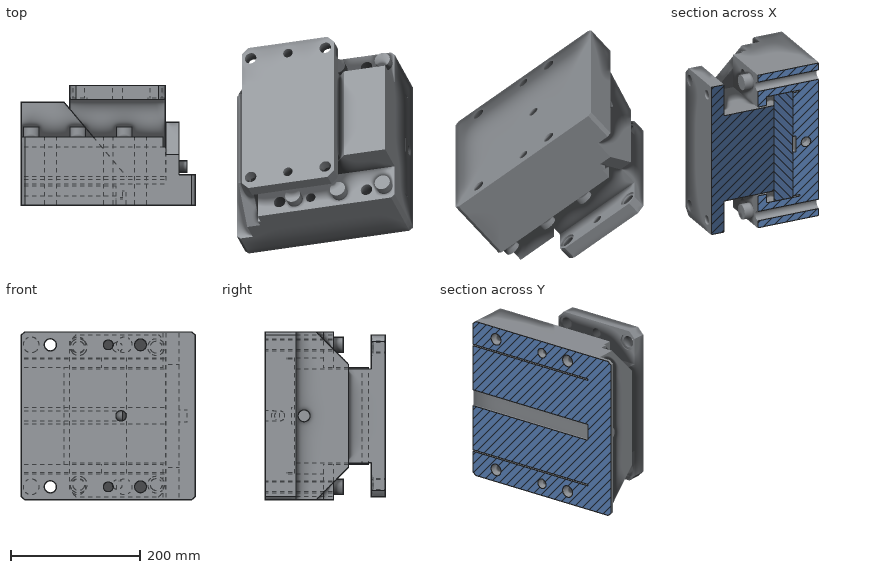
import cadquery as cq
import math


housing_length = 270.0
housing_height = 260.0
housing_depth = 105.8
flange_depth = 47.8
shoulder_x = 244.5
corner_chamfer_x = 6.0
corner_chamfer_z = 4.9

slot_end_x = 224.0
slot_floor_y = 45.0
slot_lip_y = 90.5
slot_half_width = 89.6
neck_half_width = 75.0
relief_width = 1.5
relief_depth = 11.5
key_groove_half_width = 13.0
key_groove_depth = 4.5

stop_bottom_y = 78.8
stop_top_y = 129.0
stop_bottom_half_height = housing_height / 2
stop_top_half_height = stop_bottom_half_height - (stop_top_y - stop_bottom_y)
notch_depth = 4.0
notch_bottom_y = 90.2

head_radius = 12.2
head_height = 15.5
head_first_x = 15.7
head_pitch = 72.0
head_count = 3
side_pin_radius = 9.2
side_pin_length = 12.5
side_pin_y = 60.2

hole_row_z = 110.0
bolt_hole_radius = 9.2
bolt_hole_xs = (45.4, 185.0)
dowel_hole_radius = 7.5
dowel_hole_x = 135.0
port_radius = 8.0
port_x = 154.7
channel_radius = 7.8
channel_y = 22.5
channel_length = port_x - port_radius
port_core_radius = 12.7
port_core_end_x = 157.1

wedge_top_y = 160.0
wedge_top_length = 66.5
wedge_angle = math.radians(50)

jaw_left_x = 75.0
jaw_right_x = 223.3
jaw_half_width = 73.0
plate_bottom_y = 164.0
plate_top_y = 186.0
plate_height = 251.0
plate_chamfer = 10.3
plate_hole_z = 106.5
plate_bolt_spacing = 120.0
counterbore_radius = 13.0
counterbore_depth = 2.7


def box(x_range, y_range, half_height):
    """Block between two X and two Y limits, centred on Z = 0."""
    (x0, x1), (y0, y1) = x_range, y_range
    return cq.Workplane("XY").box(x1 - x0, y1 - y0, 2 * half_height).translate(
        ((x0 + x1) / 2, (y0 + y1) / 2, 0)
    )


def cylinder_along_y(x, z, radius, y_start, length):
    return cq.Workplane(cq.Solid.makeCylinder(radius, length, cq.Vector(x, y_start, z), cq.Vector(0, 1, 0)))


def cylinder_along_x(y, radius, x_start, length):
    return cq.Workplane(cq.Solid.makeCylinder(radius, length, cq.Vector(x_start, y, 0), cq.Vector(1, 0, 0)))


def wedge_slope_x(y):
    """X of the inclined wedge face at a given Y."""
    return wedge_top_length + (wedge_top_y - y) / math.tan(wedge_angle)


def prism_in_z(points, half_height):
    return cq.Workplane("XY").polyline(points).close().extrude(half_height, both=True)


def make_housing_block():
    """Stepped block with its four long corners chamfered."""
    half_height = housing_height / 2
    chamfered_z = half_height - corner_chamfer_z
    chamfered_x = housing_length - corner_chamfer_x
    end_outline = [
        (corner_chamfer_x, half_height), (chamfered_x, half_height),
        (housing_length, chamfered_z), (housing_length, -chamfered_z),
        (chamfered_x, -half_height), (corner_chamfer_x, -half_height),
        (0, -chamfered_z), (0, chamfered_z),
    ]
    block = cq.Workplane("XZ").polyline(end_outline).close().extrude(-housing_depth)
    flange_step = box((shoulder_x, housing_length), (flange_depth, housing_depth), half_height)
    stop_seat = box((slot_end_x, shoulder_x), (stop_bottom_y, housing_depth), half_height)
    notch = box((slot_end_x - notch_depth, slot_end_x), (notch_bottom_y, housing_depth), half_height)
    return block.cut(flange_step).cut(stop_seat).cut(notch)


def make_slot():
    """T-slot with its floor grooves, open at X = 0."""
    slot_x = (0, slot_end_x)
    slot = box(slot_x, (slot_floor_y, slot_lip_y), slot_half_width)
    slot = slot.union(box(slot_x, (slot_floor_y, housing_depth), neck_half_width))
    slot = slot.union(box(slot_x, (slot_floor_y - key_groove_depth, slot_floor_y), key_groove_half_width))
    relief = box(slot_x, (slot_floor_y - relief_depth, slot_floor_y), relief_width / 2)
    for side in (-1, 1):
        slot = slot.union(relief.translate((0, 0, side * (slot_half_width - relief_width / 2))))
    return slot


def make_end_stop():
    """Stop plate whose Z sides taper at 45 degrees toward its top."""
    outline = [
        (stop_bottom_y, -stop_bottom_half_height), (stop_top_y, -stop_top_half_height),
        (stop_top_y, stop_top_half_height), (stop_bottom_y, stop_bottom_half_height),
    ]
    stop = cq.Workplane("YZ").polyline(outline).close().extrude(shoulder_x - slot_end_x)
    return stop.translate((slot_end_x, 0, 0))


def make_port():
    """Front port whose bottom is a rounded core, coaxial with the channel, and a deeper step past it."""
    port = cylinder_along_y(port_x, 0, port_radius, 0, channel_y)
    return port.cut(cylinder_along_x(channel_y, port_core_radius, 0, port_core_end_x))


def make_housing():
    housing = make_housing_block().cut(make_slot()).union(make_end_stop())
    for z in (-hole_row_z, hole_row_z):
        for index in range(head_count):
            head_x = head_first_x + index * head_pitch
            housing = housing.union(cylinder_along_y(head_x, z, head_radius, housing_depth, head_height))
        for x in bolt_hole_xs:
            housing = housing.cut(cylinder_along_y(x, z, bolt_hole_radius, 0, housing_depth))
        housing = housing.cut(cylinder_along_y(dowel_hole_x, z, dowel_hole_radius, 0, housing_depth))
    housing = housing.union(cylinder_along_x(side_pin_y, side_pin_radius, shoulder_x, side_pin_length))
    housing = housing.cut(cylinder_along_x(channel_y, channel_radius, 0, channel_length))
    return housing.cut(make_port())


def make_wedge():
    """T-section slide with an inclined end face."""
    section = box((0, slot_end_x), (slot_floor_y, slot_lip_y), slot_half_width)
    section = section.union(box((0, slot_end_x), (slot_floor_y, wedge_top_y), neck_half_width))
    profile = [
        (0, slot_floor_y), (wedge_slope_x(slot_floor_y), slot_floor_y),
        (wedge_top_length, wedge_top_y), (0, wedge_top_y),
    ]
    return section.intersect(prism_in_z(profile, slot_half_width))


def make_jaw():
    """Block resting on the inclined wedge face, with a drilled clamping plate on top."""
    slope_start_y = wedge_top_y - (jaw_left_x - wedge_top_length) * math.tan(wedge_angle)
    profile = [
        (jaw_left_x, plate_bottom_y), (jaw_left_x, slope_start_y),
        (wedge_slope_x(slot_floor_y), slot_floor_y),
        (jaw_right_x, slot_floor_y), (jaw_right_x, plate_bottom_y),
    ]
    block = prism_in_z(profile, jaw_half_width)
    plate = box((jaw_left_x, jaw_right_x), (plate_bottom_y, plate_top_y), plate_height / 2)
    plate = plate.edges("|Y").chamfer(plate_chamfer)
    jaw = block.union(plate)
    plate_thickness = plate_top_y - plate_bottom_y
    middle_x = (jaw_left_x + jaw_right_x) / 2
    for z in (-plate_hole_z, plate_hole_z):
        jaw = jaw.cut(cylinder_along_y(middle_x, z, dowel_hole_radius, plate_bottom_y, plate_thickness))
        for side in (-1, 1):
            x = middle_x + side * plate_bolt_spacing / 2
            jaw = jaw.cut(cylinder_along_y(x, z, bolt_hole_radius, plate_bottom_y, plate_thickness))
            jaw = jaw.cut(cylinder_along_y(x, z, counterbore_radius, plate_bottom_y, counterbore_depth))
    return jaw


housing = make_housing().solids()
wedge = make_wedge().solids()
jaw = make_jaw().solids()

result = cq.Compound.makeCompound([housing.val(), wedge.val(), jaw.val()])